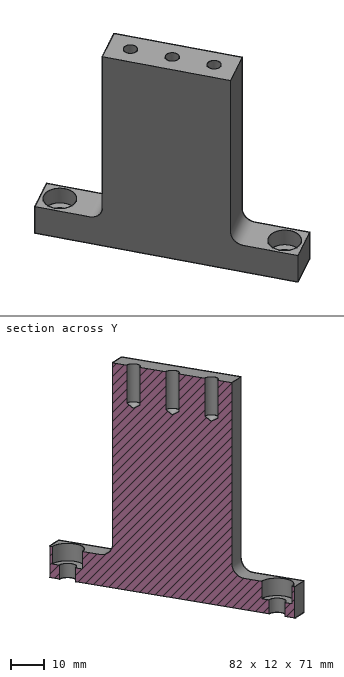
import cadquery as cq
import math

base_length = 82.0
thickness = 12.0
total_height = 71.0
base_height = 10.0
stem_width = 40.0
corner_radius = 4.0

mount_spacing = 70.0
mount_diameter = 5.3
counterbore_diameter = 10.0
counterbore_depth = 5.5

top_hole_count = 3
top_hole_pitch = 13.0
top_hole_diameter = 4.2
top_hole_depth = 12.0
drill_point_angle = 118.0


def make_body():
    """T-shaped plate, with its base on Z = 0 and rounded inner corners."""
    base = cq.Workplane("XY").box(base_length, thickness, base_height, centered=(True, True, False))
    stem = cq.Workplane("XY").box(stem_width, thickness, total_height, centered=(True, True, False))
    inner_corners = cq.selectors.BoxSelector(
        (-base_length / 3, -thickness, base_height / 2),
        (base_length / 3, thickness, base_height * 3 / 2),
    )
    return base.union(stem).edges("|Y").edges(inner_corners).fillet(corner_radius)


def cut_mounting_holes(body):
    """Counterbored through holes, one in each foot."""
    return (
        body.copyWorkplane(cq.Workplane("XY", origin=(0, 0, base_height)))
        .pushPoints([(-mount_spacing / 2, 0), (mount_spacing / 2, 0)])
        .cboreHole(mount_diameter, counterbore_diameter, counterbore_depth, base_height)
    )


def drilled_hole(x):
    """Cylinder with a conical drill point, entering from the top of the stem."""
    radius = top_hole_diameter / 2
    shoulder_z = total_height - top_hole_depth
    tip_z = shoulder_z - radius / math.tan(math.radians(drill_point_angle / 2))
    half_section = [(0, total_height), (radius, total_height), (radius, shoulder_z), (0, tip_z)]
    cutter = cq.Workplane("XZ").polyline(half_section).close().revolve(360, (0, 0), (0, 1))
    return cutter.translate((x, 0, 0))


result = cut_mounting_holes(make_body())
for index in range(top_hole_count):
    hole_x = (index - (top_hole_count - 1) / 2) * top_hole_pitch
    result = result.cut(drilled_hole(hole_x))